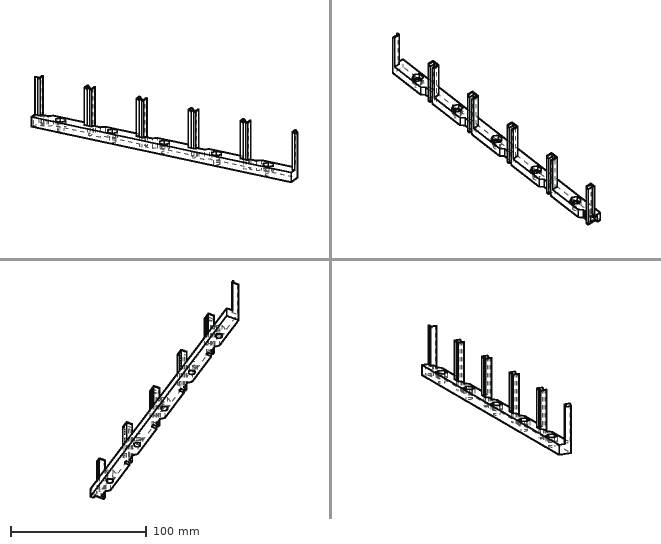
import cadquery as cq

length = 218.8
depth = 10.0
bar_height = 7.9
total_height = 38.0

pitch = 43.8
bay_count = 5
post_width = 6.5
arm_width = 2.12
slot_width = post_width - 2 * arm_width
web_front = 5.2
web_thickness = 0.7
web_back = web_front + web_thickness

tip_flat = 0.7
tip_drop = 1.5

relief_floor = 7.5
relief_end = 10.3
relief_slope = depth - relief_floor

hole_diameter = 4.8
recess_corners = 8.3
recess_depth = 4.0

socket_front = 2.8
socket_back = 7.5
socket_bottom = 1.3
socket_top = 6.5
socket_depth = 8.8


def box(x0, x1, y0, y1, z0, z1):
    """Axis-aligned box between two opposite corners."""
    return cq.Workplane("XY").box(x1 - x0, y1 - y0, z1 - z0, centered=False).translate((x0, y0, z0))


def arm(outer_x, inner_x, flat_x):
    """Arm behind the web, level from outer_x to flat_x and sloping down to inner_x."""
    profile = [
        (outer_x, 0),
        (outer_x, total_height),
        (flat_x, total_height),
        (inner_x, total_height - tip_drop),
        (inner_x, 0),
    ]
    solid = cq.Workplane("XZ").polyline(profile).close().extrude(web_front - depth)
    return solid.translate((0, web_front, 0))


def post(slot_x):
    """Web and two arms around the slot that starts at slot_x."""
    left = slot_x - arm_width
    right_wall = slot_x + slot_width
    right = right_wall + arm_width
    web = box(left, right, web_front, web_back, 0, total_height)
    left_arm = arm(left, slot_x, left + tip_flat)
    right_arm = arm(right, right_wall, right - tip_flat)
    return web.union(left_arm).union(right_arm)


def slot(slot_x):
    """Gap between the arms, open at the rear and through the bar."""
    return box(slot_x, slot_x + slot_width, web_back, depth, 0, total_height)


def relief(slot_x):
    """Rear-edge step that slopes back out to the full bar depth."""
    start = slot_x + slot_width + arm_width
    end = slot_x + relief_end
    outline = [(start, relief_floor), (end, relief_floor), (end + relief_slope, depth), (start, depth)]
    return cq.Workplane("XY").polyline(outline).close().extrude(bar_height)


def screw_holes():
    """Through holes with hexagonal recesses sunk from the bar's top face."""
    centres = [((bay + 0.5) * pitch, depth / 2) for bay in range(bay_count)]
    top = cq.Workplane("XY").workplane(offset=bar_height).pushPoints(centres)
    holes = top.circle(hole_diameter / 2).extrude(-bar_height)
    recesses = top.polygon(6, recess_corners).extrude(-recess_depth)
    return holes.union(recesses)


def end_socket():
    """Blind socket in the -X end and the notch under its mouth."""
    socket = box(0, socket_depth, socket_front, socket_back, socket_bottom, socket_top)
    notch = box(0, slot_width, socket_front, depth, 0, socket_bottom)
    return socket.union(notch)


body = box(0, length, 0, depth, 0, bar_height)
for index in range(bay_count + 1):
    slot_x = index * pitch
    body = body.cut(relief(slot_x)).union(post(slot_x)).cut(slot(slot_x))

body = body.intersect(box(0, length, 0, depth, 0, total_height))

result = body.cut(screw_holes()).cut(end_socket())